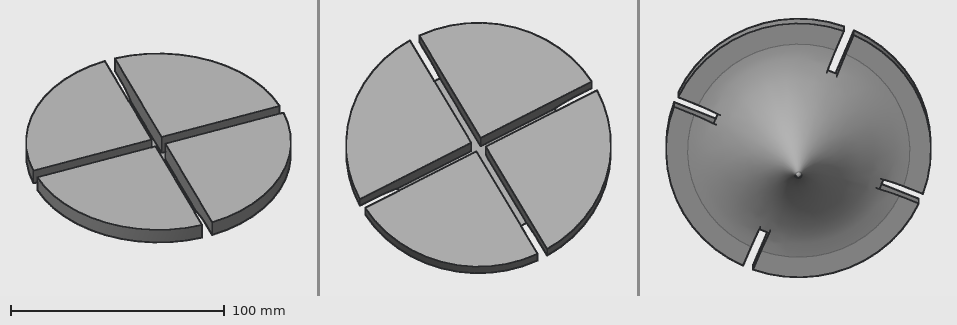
import cadquery as cq

disc_radius = 62.0
disc_thickness = 8.0
stem_height = 40.0
tip_radius = 1.5
slot_width = 5.0
slot_depth = 10.0
flare_radius = 52.0

upper_control = (31.7, 1.1)
lower_control = (2.35, 24.5)


def make_disc():
    return cq.Workplane("XY").circle(disc_radius).extrude(disc_thickness)


def make_stem():
    """Flared stem turned about Z, ending in a hemispherical tip."""
    flare = [(flare_radius, 0), upper_control, lower_control, (tip_radius, stem_height)]
    flare_points = [(radius, -depth) for radius, depth in flare]
    tip_offset = tip_radius * 0.5**0.5
    return (
        cq.Workplane("XZ")
        .moveTo(*flare_points[0])
        .bezier(flare_points[1:], includeCurrent=True)
        .threePointArc((tip_offset, -stem_height - tip_offset), (0, -stem_height - tip_radius))
        .lineTo(0, 0)
        .close()
        .revolve(360, (0, 0, 0), (0, 1, 0))
    )


def make_cross_slots():
    """Two crossing slots that split the disc into four quadrants."""
    slot_floor = disc_thickness - slot_depth
    slot_length = 2 * disc_radius
    slots = cq.Workplane("XY")
    for length_x, length_y in [(slot_length, slot_width), (slot_width, slot_length)]:
        slot = (
            cq.Workplane("XY")
            .workplane(offset=slot_floor)
            .rect(length_x, length_y)
            .extrude(slot_depth)
        )
        slots = slots.add(slot)
    return slots.combine()


result = make_disc().union(make_stem()).cut(make_cross_slots())